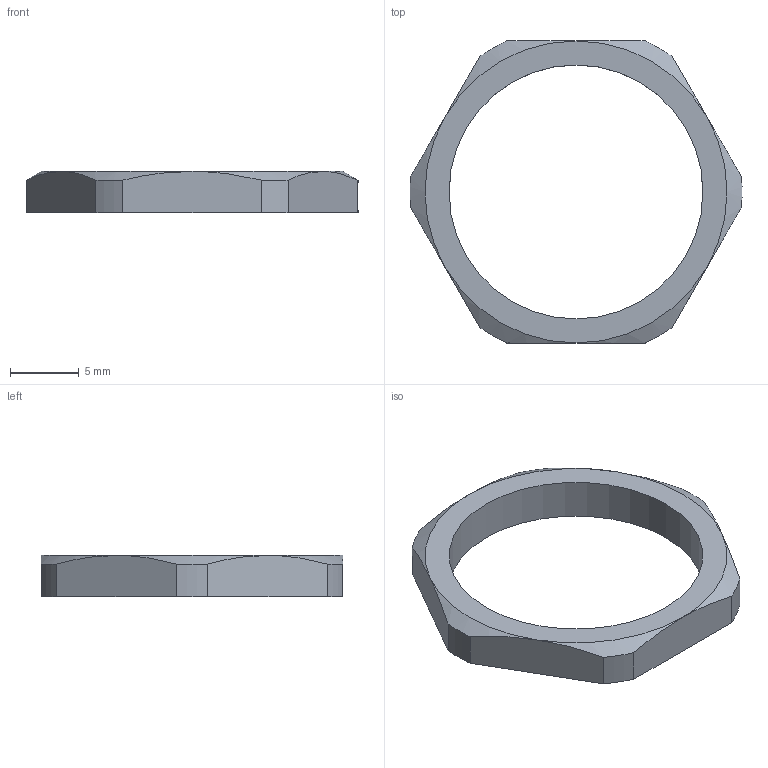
import cadquery as cq
import math

across_flats = 22.0
corner_diameter = 24.2
bore_diameter = 18.5
thickness = 3.0
chamfer_angle = 30.0

flat_radius = across_flats / 2
corner_radius = corner_diameter / 2
sharp_corner_diameter = across_flats / math.cos(math.pi / 6)
chamfer_drop = (corner_radius - flat_radius) * math.tan(math.radians(chamfer_angle))


def hexagon_body():
    """Sharp hexagonal prism with two corners on the X axis and its base at Z = 0."""
    return cq.Workplane("XY").polygon(6, sharp_corner_diameter).extrude(thickness)


def turned_envelope():
    """Round blank whose top edge is a cone meeting the top face at the hexagon's flats."""
    return (
        cq.Workplane("XZ")
        .moveTo(0, 0)
        .lineTo(corner_radius, 0)
        .lineTo(corner_radius, thickness - chamfer_drop)
        .lineTo(flat_radius, thickness)
        .lineTo(0, thickness)
        .close()
        .revolve(360, (0, 0, 0), (0, 1, 0))
    )


def bore():
    """Plain cylinder through the full thickness."""
    return cq.Workplane("XY").circle(bore_diameter / 2).extrude(thickness)


result = hexagon_body().intersect(turned_envelope()).cut(bore())